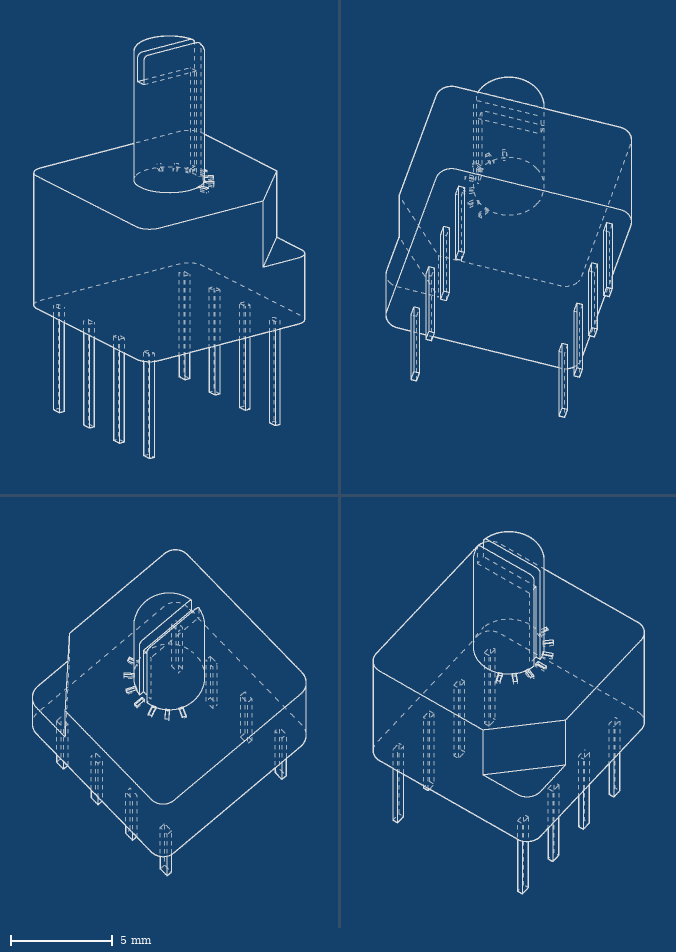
import cadquery as cq
import math

total_height = 19.5
pin_length = 5.5
body_height = 7.0
shaft_height = total_height - pin_length - body_height
body_top = pin_length + body_height

body_side = 10.0
corner_radius = 0.8
corner_cut = 2.9
corner_cut_depth = body_height / 2

shaft_diameter = 3.5
shaft_radius = shaft_diameter / 2
shaft_edge_radius = 0.25
slot_width = 0.53
slot_depth = 1.5
keyway_floor = 1.46

pin_width = 0.5
pin_thickness = 0.3
pin_pitch = 2.54
pin_row_count = 2
pins_per_row = 4
pin_row_spacing = (pins_per_row - 1) * pin_pitch
pin_row_offset = -pin_thickness / 2

mark_count = 7
mark_step_angle = 22.5
mark_inner_radius = 1.72
mark_length = 0.5
mark_width = 0.2
mark_depth = 0.2


def make_body():
    """Square housing with rounded corners and a triangular step in the +X +Y corner."""
    body = (
        cq.Workplane("XY", origin=(0, 0, pin_length))
        .rect(body_side, body_side)
        .extrude(body_height)
        .edges("|Z")
        .fillet(corner_radius)
    )
    half = body_side / 2
    step = (
        cq.Workplane("XY", origin=(0, 0, body_top))
        .polyline([(half, half), (half - corner_cut, half), (half, half - corner_cut)])
        .close()
        .extrude(-corner_cut_depth)
    )
    return body.cut(step)


def make_dial_marks():
    """Cutters for the short radial marks, fanned out symmetrically about +Y."""
    marks = cq.Workplane("XY")
    mark = cq.Workplane("XY", origin=(0, mark_inner_radius, body_top - mark_depth)).box(
        mark_width, mark_length, mark_depth, centered=(True, False, False)
    )
    for index in range(mark_count):
        angle = (index - (mark_count - 1) / 2) * mark_step_angle
        marks = marks.add(mark.rotate((0, 0, 0), (0, 0, 1), angle))
    return marks.combine()


def make_shaft():
    """Round shaft with a screwdriver slot on top, a keyway on +Y and a narrow flat on -Y."""
    shaft = (
        cq.Workplane("XY", origin=(0, 0, body_top))
        .circle(shaft_radius)
        .extrude(shaft_height)
        .faces(">Z")
        .edges()
        .fillet(shaft_edge_radius)
    )
    slot = cq.Workplane("XY", origin=(0, 0, total_height - slot_depth)).box(
        slot_width, 2 * shaft_radius, slot_depth, centered=(True, True, False)
    )
    keyway = cq.Workplane("XY", origin=(0, keyway_floor, body_top)).box(
        slot_width, shaft_radius, shaft_height, centered=(True, False, False)
    )
    flat_distance = math.sqrt(shaft_radius**2 - (slot_width / 2) ** 2)
    flat = cq.Workplane("XY", origin=(0, -flat_distance - shaft_radius, body_top)).box(
        slot_width, shaft_radius, shaft_height, centered=(True, False, False)
    )
    return shaft.cut(slot).cut(keyway).cut(flat)


def make_pins():
    """Two rows of flat pins under the housing."""
    return (
        cq.Workplane("XY", origin=(0, pin_row_offset, 0))
        .rarray(pin_pitch, pin_row_spacing, pins_per_row, pin_row_count)
        .rect(pin_width, pin_thickness)
        .extrude(pin_length)
    )


result = make_body().cut(make_dial_marks()).union(make_shaft()).union(make_pins())